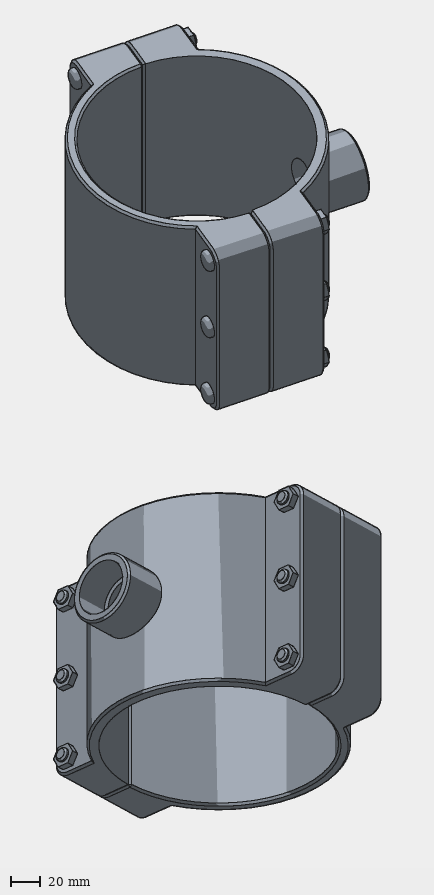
import cadquery as cq
import math

bore_radius = 80.0
wall = 8.0
ring_radius = bore_radius + wall
height = 145.0
chamfer = 1.6

overall_width = 223.0
lug_depth = 40.0
lug_corner_radius = 11.1

bolt_x = 99.5
bolt_pitch = 60.5
bolt_rows = (-bolt_pitch, 0.0, bolt_pitch)
shank_diameter = 10.0
head_diameter = 15.0
head_height = 4.0
head_rounding = 3.0
nut_across_flats = 15.0
nut_height = 5.0
shank_projection = 7.7
shank_chamfer = 1.4

outlet_diameter = 50.64
outlet_face = 116.7
outlet_chamfer = 1.5
thread_bore_diameter = 38.95
passage_diameter = 32.0
thread_bore_floor = 92.0


tolerance = 0.01


def cylinder_along_y(diameter, y_start, y_end, x=0.0, z=0.0):
    base = cq.Vector(x, y_start, z)
    axis = cq.Vector(0, 1, 0)
    return cq.Workplane(cq.Solid.makeCylinder(diameter / 2, y_end - y_start, base, axis))


def cylinder_along_z(radius):
    return cq.Workplane("XY").circle(radius).extrude(height / 2, both=True)


def clamp_half(side, chamfer_bore_rims):
    """Half of the clamp on the given side (+1 or -1) of the plane Y = 0."""
    half_space = cq.Workplane("XY").box(overall_width, ring_radius, height)
    half_space = half_space.translate((0, side * ring_radius / 2, 0))
    lugs = (
        cq.Workplane("XY")
        .box(overall_width, lug_depth, height)
        .translate((0, side * lug_depth / 2, 0))
        .edges("|Y")
        .fillet(lug_corner_radius)
    )
    ring = cylinder_along_z(ring_radius).intersect(half_space)
    half = lugs.union(ring).cut(cylinder_along_z(bore_radius))

    def is_chamfered(edge):
        if edge.geomType() == "CIRCLE":
            on_bore = abs(edge.radius() - bore_radius) < tolerance
            return chamfer_bore_rims or not on_bore
        direction = edge.tangentAt(0.5)
        along_y = abs(direction.y) > 1 - tolerance
        center = edge.Center()
        along_z = abs(direction.z) > 1 - tolerance
        inner_corner = along_z and abs(center.y) > lug_depth / 2
        return not (along_y or inner_corner)

    edges = [edge for edge in half.edges().vals() if is_chamfered(edge)]
    return half.newObject(edges).chamfer(chamfer)


def bolt(x, z):
    head = (
        cylinder_along_y(head_diameter, -lug_depth - head_height, -lug_depth, x, z)
        .faces("<Y")
        .edges()
        .fillet(head_rounding)
    )
    shank = (
        cylinder_along_y(shank_diameter, -lug_depth, lug_depth + shank_projection, x, z)
        .faces(">Y")
        .edges()
        .chamfer(shank_chamfer)
    )
    across_corners = nut_across_flats / math.cos(math.pi / 6)
    nut = (
        cq.Workplane("XZ", origin=(x, lug_depth + nut_height, z))
        .polygon(6, across_corners)
        .extrude(nut_height)
    )
    return shank.union(head).union(nut)


def add_outlet(body):
    outlet = (
        cylinder_along_y(outlet_diameter, 0, outlet_face)
        .faces(">Y")
        .edges()
        .chamfer(outlet_chamfer)
        .cut(cylinder_along_z(bore_radius + wall / 2))
    )
    thread_bore = cylinder_along_y(thread_bore_diameter, thread_bore_floor, outlet_face)
    passage = cylinder_along_y(passage_diameter, 0, outlet_face)
    return body.union(outlet).cut(thread_bore).cut(passage)


outlet_half = clamp_half(1, chamfer_bore_rims=False)
plain_half = clamp_half(-1, chamfer_bore_rims=True)
result = outlet_half.union(plain_half)
for bolt_side in (-1, 1):
    for bolt_z in bolt_rows:
        result = result.union(bolt(bolt_side * bolt_x, bolt_z))
result = add_outlet(result)